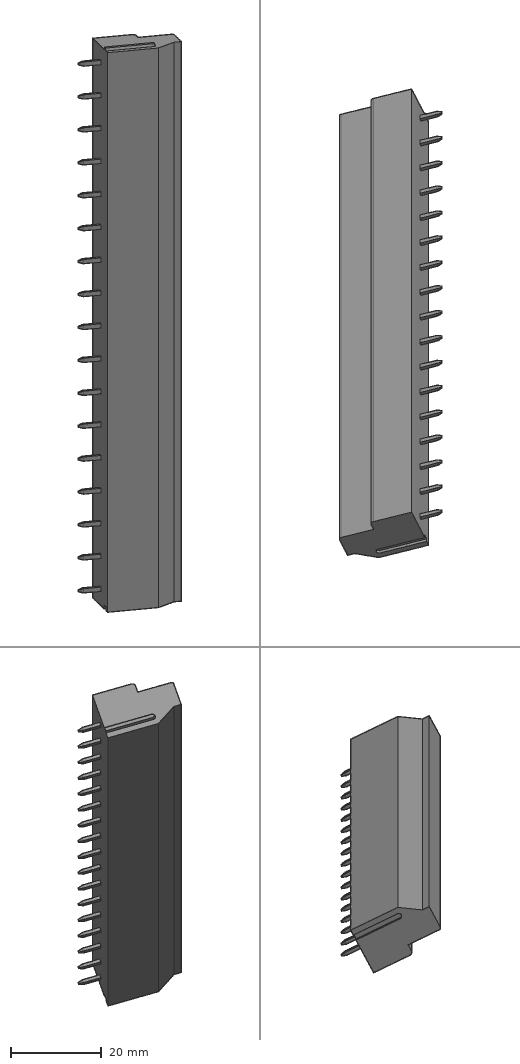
import cadquery as cq

poles = 17
length = 130.1

rail_centre = 9.2
rail_width = 1.3
rail_length = 11.6
rib_height = 0.6
rib_draft = 20.0
groove_depth = 0.8

body_length = length - rib_height
body_width = 11.2
body_depth = 18.0
step_width = 2.3
step_depth = 9.8
step_fillet = 0.8
crest_fillet = 0.5
crest_right = 8.2
crest_drop = 1.7
slope_end = 11.7

pitch = body_length / poles
pin_x = 5.7
pin_width = 0.8
pin_thickness = 1.0
pin_length = 5.1
tip_length = 1.0
tip_scale = 0.4
pin_root = 1.3


def round_long_edge(body, x, y, radius):
    """Fillet the body edge that runs along Z at the given profile corner."""
    edge = cq.selectors.NearestToPointSelector((x, y, body_length / 2))
    return body.edges(edge).fillet(radius)


def make_body():
    body = (
        cq.Workplane("XY")
        .lineTo(body_width, 0)
        .lineTo(body_width, slope_end)
        .lineTo(crest_right, body_depth - crest_drop)
        .lineTo(crest_right, body_depth)
        .lineTo(step_width, body_depth)
        .lineTo(step_width, step_depth)
        .lineTo(0, step_depth)
        .close()
        .extrude(body_length)
    )
    body = round_long_edge(body, 0, step_depth, step_fillet)
    return round_long_edge(body, step_width, body_depth, crest_fillet)


def make_rail(z, height, draft):
    """Round-ended rail running in from the -Y face, its base on the plane at z."""
    half = rail_width / 2
    overrun = height
    rail = (
        cq.Workplane("XY", origin=(rail_centre, 0, z))
        .moveTo(-half, -overrun)
        .lineTo(half, -overrun)
        .lineTo(half, rail_length - half)
        .threePointArc((0, rail_length), (-half, rail_length - half))
        .close()
        .extrude(height, taper=draft)
    )
    trim = cq.Workplane("XY").box(body_width, body_depth, length, centered=False)
    return rail.intersect(trim)


def make_pin(z):
    """Rectangular pin pointing along -Y, with a tapered tip."""
    shank_length = pin_length - tip_length
    shank = (
        cq.Workplane("XZ", origin=(pin_x, pin_root, z))
        .rect(pin_width, pin_thickness)
        .extrude(pin_root + shank_length)
    )
    tip = (
        cq.Workplane("XZ", origin=(pin_x, -shank_length, z))
        .rect(pin_width, pin_thickness)
        .workplane(offset=tip_length)
        .rect(pin_width * tip_scale, pin_thickness * tip_scale)
        .loft(ruled=True)
    )
    return shank.union(tip)


groove = make_rail(0, groove_depth, 0)
rib = make_rail(body_length, rib_height, rib_draft)
result = make_body().cut(groove).union(rib)
for pole in range(poles):
    result = result.union(make_pin((pole + 0.5) * pitch))